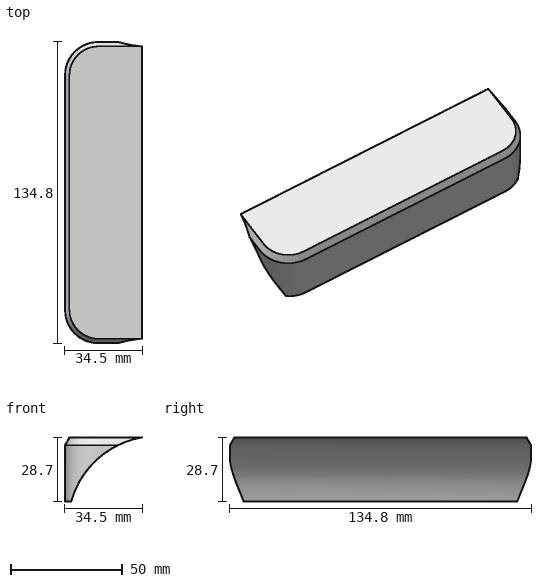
import cadquery as cq

width = 34.5
length = 134.8
height = 28.7

corner_radius = 15.0
bevel_drop = 3.5
bevel_inset = 2.0
foot_width = 2.8
hollow_radius = 40.0


def rounded_block():
    """Block with the two corners of the outer wall rounded."""
    block = cq.Workplane("XY").box(width, length, height, centered=(False, True, False))
    return block.edges("|Z and <X").fillet(corner_radius)


def bevel_top(block):
    """Bevel the top rim along the outer wall, both corners and both ends."""
    rim = block.faces(">Z").edges("not >X")
    return rim.chamfer(bevel_inset, bevel_drop)


def hollow():
    """Full-length cutter whose arc runs from the foot to the sharp +X lip."""
    return (
        cq.Workplane("XZ")
        .moveTo(foot_width, 0)
        .radiusArc((width, height), hollow_radius)
        .lineTo(width, 0)
        .close()
        .extrude(length / 2, both=True)
    )


result = bevel_top(rounded_block()).cut(hollow())